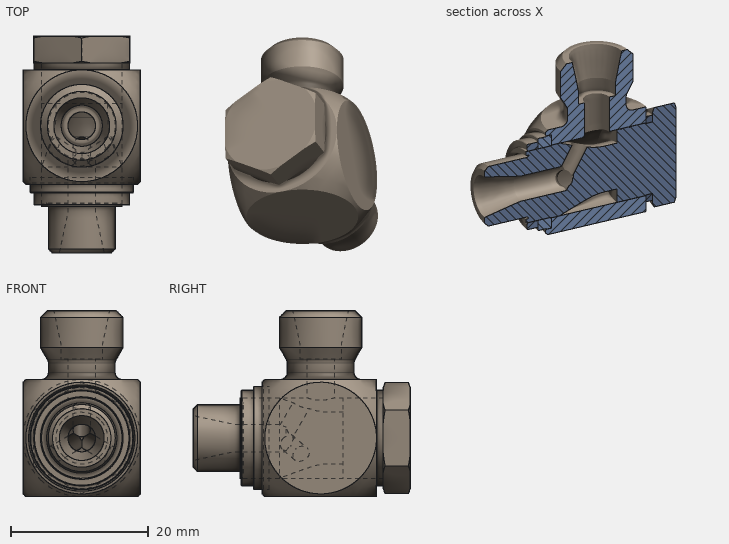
import cadquery as cq
import math


block_width = 17.0
half_width = block_width / 2
block_back_y = 8.1
sphere_radius = 11.75

port_top_z = 18.5
port_diameter = 12.0
port_tip_chamfer = 1.0
port_cylinder_bottom_z = 13.15
port_neck_diameter = 9.7
port_neck_fillet = 1.0
port_relief_angle = math.radians(30)
port_mouth_diameter = 8.1
tube_diameter = 6.0
tube_cone_half_angle = math.radians(12)
tube_shoulder_depth = 7.0
passage_diameter = 4.0

head_flats = 14.0
head_top_y = 13.0
head_bottom_y = 9.07
head_chamfer_diameter = 14.62
head_chamfer_angle = 20
journal_diameter = 11.7
journal_end_y = -11.72
shank_diameter = 9.73
shank_end_y = head_top_y - 31.5
shank_tip_chamfer = 0.63
relief_diameter = 10.2
relief_depth = 0.5
bolt_mouth_diameter = 6.52
bolt_mouth_half_angle = math.radians(12)
bolt_bore_floor_y = -5.05
drill_tip_half_angle = math.radians(59)

groove_diameter = 7.5
groove_back_y = 3.2
groove_arc_start_y = 1.23
groove_arc_radius = 8.1
groove_angle = math.radians(20)
cross_hole_angle = math.radians(30)
cross_hole_diameter = 2.5
cross_hole_count = 3
cross_hole_axis_y = -5.55

ring_chamfer = 0.1
washer_diameter = 13.9
guide_diameter = 15.0
guide_end_y = -9.73
guide_pocket_depth = 1.0
guide_pocket_mouth_diameter = 15.45
seal_diameter = 13.9
seal_end_y = -11.53
seal_bore_mouth_diameter = 12.0


def revolve_about_y(points):
    """Turn an outline of (radius, y) points into a solid round the Y axis."""
    return cq.Workplane("XY").polyline(points).close().revolve(360, (0, 0, 0), (0, 1, 0))


def cylinder_along_y(diameter, y_start, y_end):
    radius = diameter / 2
    return revolve_about_y([(0, y_start), (radius, y_start), (radius, y_end), (0, y_end)])


def make_ring(outer_diameter, y_front, y_back):
    """A plain ring that fits on the bolt journal."""
    outer = cylinder_along_y(outer_diameter, y_front, y_back)
    return outer.cut(cylinder_along_y(journal_diameter, y_front, y_back))


def make_port():
    """The solid neck and head of the port, with its flared foot on the block."""
    neck_radius = port_neck_diameter / 2
    head_radius = port_diameter / 2
    relief_radius = neck_radius + port_neck_fillet * (1 - math.cos(port_relief_angle))
    relief_z = port_cylinder_bottom_z - (head_radius - relief_radius) / math.tan(port_relief_angle)
    neck_top_z = relief_z - port_neck_fillet * math.sin(port_relief_angle)
    return (
        cq.Workplane("XZ")
        .moveTo(0, 0)
        .lineTo(neck_radius + port_neck_fillet, 0)
        .lineTo(neck_radius + port_neck_fillet, half_width)
        .radiusArc((neck_radius, half_width + port_neck_fillet), port_neck_fillet)
        .lineTo(neck_radius, neck_top_z)
        .radiusArc((relief_radius, relief_z), port_neck_fillet)
        .lineTo(head_radius, port_cylinder_bottom_z)
        .lineTo(head_radius, port_top_z - port_tip_chamfer)
        .lineTo(head_radius - port_tip_chamfer, port_top_z)
        .lineTo(0, port_top_z)
        .close()
        .revolve(360, (0, 0, 0), (0, 1, 0))
    )


def make_port_bore():
    """Tube cone, tube seat and the passage that leads down to the bolt."""
    mouth_radius = port_mouth_diameter / 2
    tube_radius = tube_diameter / 2
    passage_radius = passage_diameter / 2
    shoulder_z = port_top_z - tube_shoulder_depth
    cone_end_z = port_top_z - (mouth_radius - tube_radius) / math.tan(tube_cone_half_angle)
    outline = [
        (0, 0),
        (passage_radius, 0),
        (passage_radius, shoulder_z),
        (tube_radius, shoulder_z),
        (tube_radius, cone_end_z),
        (mouth_radius, port_top_z),
        (0, port_top_z),
    ]
    return cq.Workplane("XZ").polyline(outline).close().revolve(360, (0, 0, 0), (0, 1, 0))


def make_guide_pocket():
    """The chamfered pocket in the housing that holds the guide ring."""
    pocket_radius = guide_diameter / 2
    mouth_radius = guide_pocket_mouth_diameter / 2
    floor_y = -half_width + guide_pocket_depth
    chamfer_y = -half_width + mouth_radius - pocket_radius
    return revolve_about_y(
        [
            (0, floor_y),
            (pocket_radius, floor_y),
            (pocket_radius, chamfer_y),
            (mouth_radius, -half_width),
            (0, -half_width),
        ]
    )


def make_housing():
    block_length = block_back_y + half_width
    block = (
        cq.Workplane("XY")
        .box(block_width, block_length, block_width)
        .translate((0, (block_back_y - half_width) / 2, 0))
        .intersect(cq.Workplane("XY").sphere(sphere_radius))
    )
    return (
        block.union(make_port())
        .cut(make_port_bore())
        .cut(cylinder_along_y(journal_diameter, -half_width, block_back_y))
        .cut(make_guide_pocket())
    )


def make_bolt_head():
    """Hexagon with its corners chamfered at both ends."""
    length = head_top_y - head_bottom_y
    corner_diameter = head_flats / math.cos(math.radians(30))
    hexagon = (
        cq.Workplane("XZ", origin=(0, head_top_y, 0))
        .transformed(rotate=(0, 0, 90))
        .polygon(6, corner_diameter)
        .extrude(length)
    )
    overhang = (corner_diameter - head_chamfer_diameter) / 2
    rise = overhang * math.tan(math.radians(head_chamfer_angle))
    corner_limit = revolve_about_y(
        [
            (0, head_bottom_y),
            (head_chamfer_diameter / 2, head_bottom_y),
            (corner_diameter / 2, head_bottom_y + rise),
            (corner_diameter / 2, head_top_y - rise),
            (head_chamfer_diameter / 2, head_top_y),
            (0, head_top_y),
        ]
    )
    return hexagon.intersect(corner_limit)


def make_bolt_blank():
    """Journal and shank, with a relief cut where the shank meets the shoulder."""
    journal_radius = journal_diameter / 2
    shank_radius = shank_diameter / 2
    relief_radius = relief_diameter / 2
    relief_floor_y = journal_end_y + relief_depth
    return revolve_about_y(
        [
            (0, head_bottom_y),
            (journal_radius, head_bottom_y),
            (journal_radius, journal_end_y),
            (relief_radius, journal_end_y),
            (relief_radius, relief_floor_y),
            (shank_radius, relief_floor_y - (relief_radius - shank_radius)),
            (shank_radius, shank_end_y + shank_tip_chamfer),
            (shank_radius - shank_tip_chamfer, shank_end_y),
            (0, shank_end_y),
        ]
    )


def make_bolt_bore():
    """Conical mouth and blind bore with a drill tip."""
    mouth_radius = bolt_mouth_diameter / 2
    bore_radius = passage_diameter / 2
    cone_end_y = shank_end_y + (mouth_radius - bore_radius) / math.tan(bolt_mouth_half_angle)
    tip_y = bolt_bore_floor_y + bore_radius / math.tan(drill_tip_half_angle)
    return revolve_about_y(
        [
            (0, shank_end_y),
            (mouth_radius, shank_end_y),
            (bore_radius, cone_end_y),
            (bore_radius, bolt_bore_floor_y),
            (0, tip_y),
        ]
    )


def make_flow_groove():
    """Annular groove: straight floor, then an arc that runs out in a cone towards the shank."""
    groove_radius = groove_diameter / 2
    journal_radius = journal_diameter / 2
    arc_end_radius = groove_radius + groove_arc_radius * (1 - math.cos(groove_angle))
    arc_end_y = groove_arc_start_y - groove_arc_radius * math.sin(groove_angle)
    cone_end_y = arc_end_y - (journal_radius - arc_end_radius) / math.tan(groove_angle)
    return (
        cq.Workplane("XY")
        .moveTo(journal_radius, groove_back_y)
        .lineTo(groove_radius, groove_back_y)
        .lineTo(groove_radius, groove_arc_start_y)
        .radiusArc((arc_end_radius, arc_end_y), -groove_arc_radius)
        .lineTo(journal_radius, cone_end_y)
        .close()
        .revolve(360, (0, 0, 0), (0, 1, 0))
    )


def make_cross_holes():
    """Slanted holes from the bore floor out to the groove cone, spaced evenly round the bolt."""
    direction = cq.Vector(0, math.sin(cross_hole_angle), math.cos(cross_hole_angle))
    hole = cq.Solid.makeCylinder(
        cross_hole_diameter / 2, block_width / 2, cq.Vector(0, cross_hole_axis_y, 0), direction
    )
    holes = cq.Workplane("XY")
    for index in range(cross_hole_count):
        angle = index * 360 / cross_hole_count
        holes = holes.add(hole.rotate(cq.Vector(0, 0, 0), cq.Vector(0, 1, 0), angle))
    return holes.combine()


def make_bolt():
    solid_bolt = make_bolt_blank().union(make_bolt_head())
    return solid_bolt.cut(make_bolt_bore()).cut(make_flow_groove()).cut(make_cross_holes())


def make_washer():
    washer = make_ring(washer_diameter, block_back_y, head_bottom_y)
    return washer.faces("<Y").edges(cq.selectors.RadiusNthSelector(-1)).chamfer(ring_chamfer)


def make_guide_ring():
    ring = make_ring(guide_diameter, guide_end_y, -half_width + guide_pocket_depth)
    return ring.faces("<Y").edges(cq.selectors.RadiusNthSelector(-1)).chamfer(ring_chamfer)


def make_seal_ring():
    bore_chamfer = (seal_bore_mouth_diameter - journal_diameter) / 2
    ring = make_ring(seal_diameter, seal_end_y, guide_end_y)
    ring = ring.faces("<Y").edges(cq.selectors.RadiusNthSelector(-1)).chamfer(ring_chamfer)
    return ring.faces("<Y").edges(cq.selectors.RadiusNthSelector(0)).chamfer(bore_chamfer)


housing = make_housing()
bolt = make_bolt()
washer = make_washer()
guide_ring = make_guide_ring()
seal_ring = make_seal_ring()

result = cq.Compound.makeCompound(
    [housing.val(), bolt.val(), washer.val(), guide_ring.val(), seal_ring.val()]
)